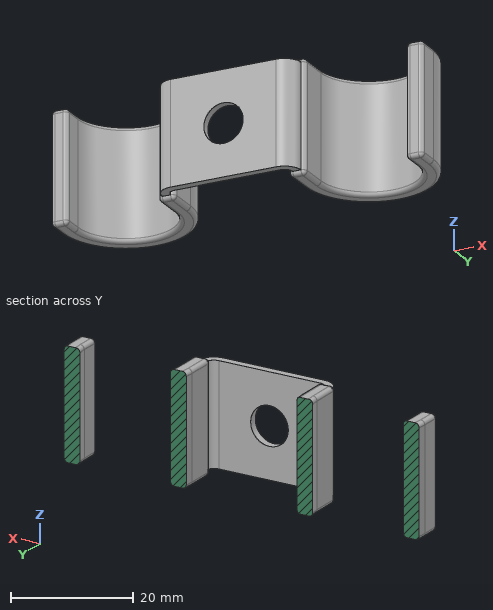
import cadquery as cq

strap_width = 19.05
strap_thickness = 1.524
coating_thickness = 0.762
clip_spacing = 44.45
clip_inner_radius = 9.525
free_leg_length = 3.175
coated_leg_length = 4.953
web_depth = 8.7122
bend_outer_radius = 2 * strap_thickness
hole_diameter = 7.137

clip_x = clip_spacing / 2
cushion_inner_radius = clip_inner_radius - coating_thickness
cushion_outer_radius = clip_inner_radius + strap_thickness + coating_thickness
cushion_free_length = free_leg_length + coating_thickness
cushion_web_length = coated_leg_length + coating_thickness
cushion_width = strap_width + 2 * coating_thickness
web_half_length = clip_x - clip_inner_radius


def cushioned_clip():
    """Right-hand coated hook, opening towards -Y, with all rims and end edges rounded."""
    outline = (
        cq.Workplane("XY")
        .moveTo(clip_x - cushion_outer_radius, -cushion_web_length)
        .lineTo(clip_x - cushion_outer_radius, 0)
        .threePointArc((clip_x, cushion_outer_radius), (clip_x + cushion_outer_radius, 0))
        .lineTo(clip_x + cushion_outer_radius, -cushion_free_length)
        .lineTo(clip_x + cushion_inner_radius, -cushion_free_length)
        .lineTo(clip_x + cushion_inner_radius, 0)
        .threePointArc((clip_x, cushion_inner_radius), (clip_x - cushion_inner_radius, 0))
        .lineTo(clip_x - cushion_inner_radius, -cushion_web_length)
        .close()
    )
    clip = outline.extrude(cushion_width / 2, both=True)
    rim_and_end_faces = clip.faces("-Y or +Z or -Z")
    return rim_and_end_faces.edges().fillet(coating_thickness)


def web():
    """Bare U-shaped strap joining the clips, its legs running up inside the coating."""
    leg_top = -coated_leg_length
    inner_half_length = web_half_length - strap_thickness
    inner_depth = web_depth - strap_thickness
    outer = (
        cq.Workplane("XY")
        .moveTo(-web_half_length, leg_top)
        .lineTo(-web_half_length, -web_depth)
        .lineTo(web_half_length, -web_depth)
        .lineTo(web_half_length, leg_top)
        .close()
        .extrude(strap_width / 2, both=True)
        .edges("|Z and <Y")
        .fillet(bend_outer_radius)
    )
    inner = (
        cq.Workplane("XY")
        .moveTo(-inner_half_length, leg_top)
        .lineTo(-inner_half_length, -inner_depth)
        .lineTo(inner_half_length, -inner_depth)
        .lineTo(inner_half_length, leg_top)
        .close()
        .extrude(strap_width / 2, both=True)
        .edges("|Z and <Y")
        .fillet(bend_outer_radius - strap_thickness)
    )
    return outer.cut(inner)


def mounting_hole():
    """Round hole through the middle of the web along Y."""
    return cq.Workplane("XZ").circle(hole_diameter / 2).extrude(web_depth)


right_clip = cushioned_clip()
left_clip = right_clip.mirror("YZ")
result = web().cut(mounting_hole()).union(right_clip).union(left_clip)